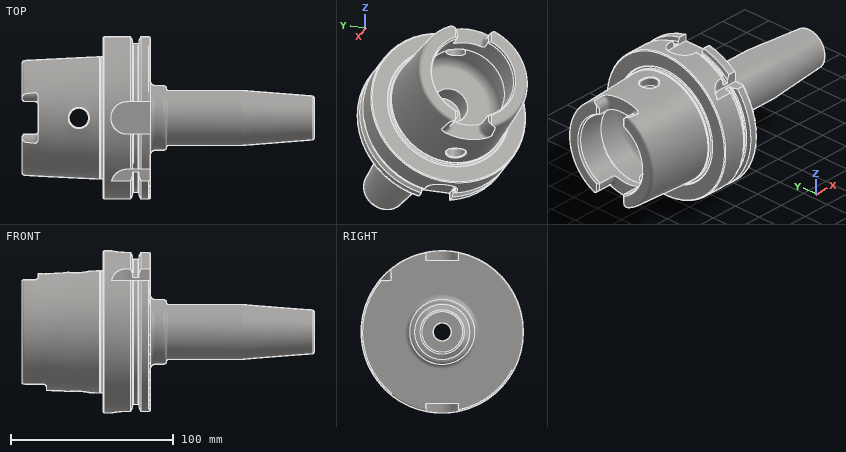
import cadquery as cq
import math

SHANK_LENGTH = 50.0
NOSE_X = 130.0
FLANGE_WIDTH = 29.0

TAPER_RATIO = 1 / 10
TAPER_LARGE_RADIUS = 37.75
TAPER_END_X = -2.4
NECK_RADIUS = 75.42 / 2
NECK_GROOVE_RADIUS = 37.5
NECK_GROOVE_HALF_WIDTH = 0.5
SHANK_EDGE_ROUND = 2.0

FACE_RELIEF_RADIUS = 39.0
FACE_RELIEF_DEPTH = 0.5
FACE_RELIEF_CHAMFER = 0.5

FLANGE_RADIUS = 50.0
FLANGE_FRONT_CHAMFER = 0.6
FLANGE_REAR_ROUND = 1.0
GROOVE_CENTER_X = 20.0
GROOVE_MOUTH_WIDTH = 6.4
GROOVE_FLOOR_WIDTH = 3.9
GROOVE_FLOOR_FILLET = 0.5
GROOVE_FLOOR_RADIUS = 45.9
GROOVE_SHOULDER_RADIUS = 47.6

HUB_RADIUS = 20.0
HUB_ROOT_FILLET = 3.0
HUB_END_X = 39.0
HUB_EDGE_ROUND = 2.0
BODY_RADIUS = 17.0
BODY_ROOT_FILLET = 1.0
NOSE_RADIUS = 13.5
NOSE_ANGLE = 4.5
NOSE_CHAMFER = 1.0

BORE_RADIUS = 53 / 2
BORE_MOUTH_STEP = 0.8
BORE_MOUTH_LENGTH = 1.6
UNDERCUT_RADIUS = 63 / 2
UNDERCUT_START_X = -30.0
CLAMPING_FACE_ANGLE = 35.0
CAVITY_FLOOR_RADIUS = 25.0
CAVITY_FLOOR_X = -3.5
THREAD_BORE_RADIUS = 22.38 / 2
THREAD_BORE_DEPTH = 15.0
THROUGH_BORE_RADIUS = 10.92 / 2

CROSS_HOLE_RADIUS = 6.0
CROSS_HOLE_X = -15.0
CROSS_HOLE_CHAMFER = 0.5

DRIVE_SLOT_HALF_WIDTH = 10.0
DRIVE_SLOT_FLARE_RADIUS = 5.0
DRIVE_SLOT_FLARE_Z = 32.2
DRIVE_SLOT_FLOOR_FILLET = 2.0
DRIVE_SLOT_LEAD_IN_WIDTH = 1.6
DRIVE_SLOT_LEAD_IN_LENGTH = 1.0
TOP_SLOT_DEPTH = 10.0
BOTTOM_SLOT_DEPTH = 15.0

POCKET_RADIUS = 10.0
POCKET_CENTER_X = 14.7
KEYWAY_FLOOR_Z = 44.0
NOTCH_INNER = 31.5

MARGIN = 5.0
SELECTION_GAP = 1.0


def revolve_about_x(profile):
    """Close a half profile along the axis and turn it into a solid."""
    return profile.close().revolve(360, (0, 0, 0), (1, 0, 0))


def make_shank():
    """Solid taper with a rounded end and a shallow relief groove before the flange."""
    face_radius = TAPER_LARGE_RADIUS - (SHANK_LENGTH + TAPER_END_X) * TAPER_RATIO / 2
    profile = (
        cq.Workplane("XY")
        .moveTo(-SHANK_LENGTH, 0)
        .lineTo(-SHANK_LENGTH, face_radius)
        .lineTo(TAPER_END_X, TAPER_LARGE_RADIUS)
        .lineTo(TAPER_END_X + NECK_GROOVE_HALF_WIDTH, NECK_GROOVE_RADIUS)
        .lineTo(TAPER_END_X + 2 * NECK_GROOVE_HALF_WIDTH, NECK_RADIUS)
        .lineTo(FACE_RELIEF_DEPTH, NECK_RADIUS)
        .lineTo(FACE_RELIEF_DEPTH, 0)
    )
    return revolve_about_x(profile).faces("<X").edges().fillet(SHANK_EDGE_ROUND)


def make_drive_slot_cutter(depth, angle):
    """Slot with a flared mouth toward +Z, turned about X; its floor is filleted, its entry is bevelled."""
    half = DRIVE_SLOT_HALF_WIDTH
    flare = DRIVE_SLOT_FLARE_RADIUS
    outer_y = FLANGE_RADIUS
    outer_z = FLANGE_RADIUS
    floor_x = -SHANK_LENGTH + depth
    slot = (
        cq.Workplane("YZ", origin=(-SHANK_LENGTH - MARGIN, 0, 0))
        .moveTo(-half, 0)
        .lineTo(-half, DRIVE_SLOT_FLARE_Z - flare)
        .radiusArc((-half - flare, DRIVE_SLOT_FLARE_Z), -flare)
        .lineTo(-outer_y, DRIVE_SLOT_FLARE_Z)
        .lineTo(-outer_y, outer_z)
        .lineTo(outer_y, outer_z)
        .lineTo(outer_y, DRIVE_SLOT_FLARE_Z)
        .lineTo(half + flare, DRIVE_SLOT_FLARE_Z)
        .radiusArc((half, DRIVE_SLOT_FLARE_Z - flare), -flare)
        .lineTo(half, 0)
        .close()
        .extrude(depth + MARGIN)
    )
    floor_edges = cq.selectors.BoxSelector(
        (floor_x - SELECTION_GAP, SELECTION_GAP - outer_y, SELECTION_GAP),
        (floor_x + SELECTION_GAP, outer_y - SELECTION_GAP, outer_z - SELECTION_GAP),
    )
    slot = slot.edges(floor_edges).fillet(DRIVE_SLOT_FLOOR_FILLET)
    lead_in = (
        cq.Workplane("XY")
        .moveTo(-SHANK_LENGTH, -half - DRIVE_SLOT_LEAD_IN_WIDTH)
        .lineTo(-SHANK_LENGTH, half + DRIVE_SLOT_LEAD_IN_WIDTH)
        .lineTo(-SHANK_LENGTH + DRIVE_SLOT_LEAD_IN_LENGTH, half)
        .lineTo(-SHANK_LENGTH + DRIVE_SLOT_LEAD_IN_LENGTH, -half)
        .close()
        .extrude(outer_z)
    )
    return slot.union(lead_in).rotate((0, 0, 0), (1, 0, 0), angle)


def make_slotted_shank():
    top_slot = make_drive_slot_cutter(TOP_SLOT_DEPTH, 0)
    bottom_slot = make_drive_slot_cutter(BOTTOM_SLOT_DEPTH, 180)
    return make_shank().cut(top_slot).cut(bottom_slot)


def make_flange():
    """Flange disc with a V-mouthed gripper groove."""
    mouth = GROOVE_MOUTH_WIDTH / 2
    floor = GROOVE_FLOOR_WIDTH / 2
    floor_flat = floor - GROOVE_FLOOR_FILLET
    fillet_top = GROOVE_FLOOR_RADIUS + GROOVE_FLOOR_FILLET
    profile = (
        cq.Workplane("XY")
        .moveTo(FACE_RELIEF_DEPTH, 0)
        .lineTo(FACE_RELIEF_DEPTH, FACE_RELIEF_RADIUS)
        .lineTo(0, FACE_RELIEF_RADIUS + FACE_RELIEF_CHAMFER)
        .lineTo(0, FLANGE_RADIUS - FLANGE_FRONT_CHAMFER)
        .lineTo(FLANGE_FRONT_CHAMFER, FLANGE_RADIUS)
        .lineTo(GROOVE_CENTER_X - mouth, FLANGE_RADIUS)
        .lineTo(GROOVE_CENTER_X - floor, GROOVE_SHOULDER_RADIUS)
        .lineTo(GROOVE_CENTER_X - floor, fillet_top)
        .radiusArc((GROOVE_CENTER_X - floor_flat, GROOVE_FLOOR_RADIUS), -GROOVE_FLOOR_FILLET)
        .lineTo(GROOVE_CENTER_X + floor_flat, GROOVE_FLOOR_RADIUS)
        .radiusArc((GROOVE_CENTER_X + floor, fillet_top), -GROOVE_FLOOR_FILLET)
        .lineTo(GROOVE_CENTER_X + floor, GROOVE_SHOULDER_RADIUS)
        .lineTo(GROOVE_CENTER_X + mouth, FLANGE_RADIUS)
        .lineTo(FLANGE_WIDTH - FLANGE_REAR_ROUND, FLANGE_RADIUS)
        .radiusArc((FLANGE_WIDTH, FLANGE_RADIUS - FLANGE_REAR_ROUND), FLANGE_REAR_ROUND)
        .lineTo(FLANGE_WIDTH, 0)
    )
    return revolve_about_x(profile)


def make_rim_pocket(center_y, floor_z):
    """Round-ended pocket open toward +X and +Z."""
    length = FLANGE_WIDTH + MARGIN - POCKET_CENTER_X
    height = FLANGE_RADIUS + MARGIN - floor_z
    plane = cq.Workplane("XY", origin=(POCKET_CENTER_X, center_y, floor_z))
    straight = plane.rect(length, 2 * POCKET_RADIUS).extrude(height).translate((length / 2, 0, 0))
    return plane.circle(POCKET_RADIUS).extrude(height).union(straight)


def cut_rim_pockets(flange):
    """Two opposite keyways and one orientation notch at the -Y, +Z corner."""
    keyway = make_rim_pocket(0, KEYWAY_FLOOR_Z)
    notch = make_rim_pocket(-NOTCH_INNER - POCKET_RADIUS, NOTCH_INNER)
    opposite_keyway = keyway.rotate((0, 0, 0), (1, 0, 0), 180)
    return flange.cut(keyway).cut(opposite_keyway).cut(notch)


def make_stem():
    """Hub, cylindrical body and conical nose on the tool side of the flange."""
    slope = math.tan(math.radians(NOSE_ANGLE))
    cone_start_x = NOSE_X - (BODY_RADIUS - NOSE_RADIUS) / slope
    profile = (
        cq.Workplane("XY")
        .moveTo(FLANGE_WIDTH, 0)
        .lineTo(FLANGE_WIDTH, HUB_RADIUS + HUB_ROOT_FILLET)
        .radiusArc((FLANGE_WIDTH + HUB_ROOT_FILLET, HUB_RADIUS), -HUB_ROOT_FILLET)
        .lineTo(HUB_END_X - HUB_EDGE_ROUND, HUB_RADIUS)
        .radiusArc((HUB_END_X, HUB_RADIUS - HUB_EDGE_ROUND), HUB_EDGE_ROUND)
        .radiusArc((HUB_END_X + BODY_ROOT_FILLET, BODY_RADIUS), -BODY_ROOT_FILLET)
        .lineTo(cone_start_x, BODY_RADIUS)
        .lineTo(NOSE_X - NOSE_CHAMFER, NOSE_RADIUS + NOSE_CHAMFER * slope)
        .lineTo(NOSE_X, NOSE_RADIUS - NOSE_CHAMFER)
        .lineTo(NOSE_X, 0)
    )
    return revolve_about_x(profile)


def make_cavity():
    """Stepped bore: clamping undercut behind a lip, threaded seat and through bore."""
    clamping_length = (UNDERCUT_RADIUS - BORE_RADIUS) * math.tan(math.radians(CLAMPING_FACE_ANGLE))
    floor_fillet = UNDERCUT_RADIUS - CAVITY_FLOOR_RADIUS
    thread_end_x = CAVITY_FLOOR_X + THREAD_BORE_DEPTH
    mouth_radius = BORE_RADIUS + BORE_MOUTH_STEP
    profile = (
        cq.Workplane("XY")
        .moveTo(-SHANK_LENGTH - MARGIN, 0)
        .lineTo(-SHANK_LENGTH - MARGIN, mouth_radius)
        .lineTo(-SHANK_LENGTH, mouth_radius)
        .lineTo(-SHANK_LENGTH + BORE_MOUTH_LENGTH, BORE_RADIUS)
        .lineTo(UNDERCUT_START_X, BORE_RADIUS)
        .lineTo(UNDERCUT_START_X + clamping_length, UNDERCUT_RADIUS)
        .lineTo(CAVITY_FLOOR_X - floor_fillet, UNDERCUT_RADIUS)
        .radiusArc((CAVITY_FLOOR_X, CAVITY_FLOOR_RADIUS), floor_fillet)
        .lineTo(CAVITY_FLOOR_X, THREAD_BORE_RADIUS)
        .lineTo(thread_end_x, THREAD_BORE_RADIUS)
        .lineTo(thread_end_x, THROUGH_BORE_RADIUS)
        .lineTo(NOSE_X + MARGIN, THROUGH_BORE_RADIUS)
        .lineTo(NOSE_X + MARGIN, 0)
    )
    return revolve_about_x(profile)


def add_cross_hole(solid):
    """Hole along Z through both shank walls, chamfered on the outside."""
    hole = (
        cq.Workplane("XY", origin=(CROSS_HOLE_X, 0, 0))
        .circle(CROSS_HOLE_RADIUS)
        .extrude(FLANGE_RADIUS, both=True)
    )
    solid = solid.cut(hole)
    reach = CROSS_HOLE_RADIUS + SELECTION_GAP
    wall_z = UNDERCUT_RADIUS + SELECTION_GAP
    for low_z, high_z in ((wall_z, FLANGE_RADIUS), (-FLANGE_RADIUS, -wall_z)):
        mouth = cq.selectors.BoxSelector(
            (CROSS_HOLE_X - reach, -reach, low_z),
            (CROSS_HOLE_X + reach, reach, high_z),
        )
        solid = solid.edges(mouth).chamfer(CROSS_HOLE_CHAMFER)
    return solid


body = make_slotted_shank().union(cut_rim_pockets(make_flange())).union(make_stem())
result = add_cross_hole(body.cut(make_cavity()))